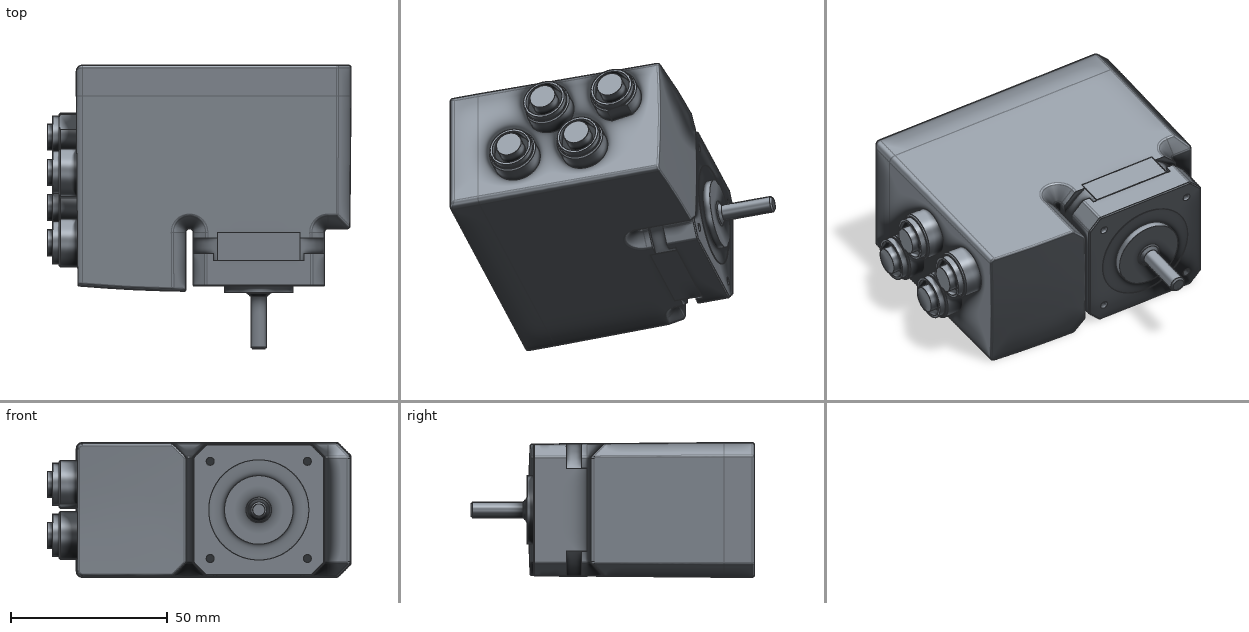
import cadquery as cq
import math


housing_left = -58.3
housing_right = 29.5
housing_half_height = 21.5
housing_back = 70.6
lid_joint = 60.8
draft_angle = 0.5
left_edge_radius = 2.0
right_edge_chamfer = 4.3
soft_edge_radius = 1.0
lid_rim_radius = 0.9

dome_radius = 387.8
dome_apex_x = -21.3
dome_apex_y = -1.6
pod_rim_radius = 0.6

gap_center_x = 22.1
gap_end_y = 17.2
gap_radius = 1.2
bevel_depth = 4.3
bevel_start_z = 16.9
bevel_angle = 45

motor_half_width = 21.0
motor_corner_chamfer = 4.1
flange_depth = 10.5
stator_back = 15.3
stator_round_radius = 24.8
flange_rim_chamfer = 0.4
recess_radius = 16.0
recess_depth = 0.2
pilot_radius = 11.0
pilot_height = 2.0
screw_spacing = 31.0
screw_hole_radius = 1.3
screw_hole_depth = 4.5

label_half_width = math.sqrt(stator_round_radius**2 - motor_half_width**2)
label_front = 8.2
label_back = 17.2
label_top = 21.2
notch_half_width = 14.4

shaft_radius = 2.5
shaft_tip = -20.0
shaft_tip_chamfer = 0.6
hub_radius = 4.1
hub_rim = 0.3
hub_neck_radius = 3.5
hub_height = 1.3

connector_tip = -67.5
ring_face = -65.8
collar_face = -63.8
connector_root = -56.2
collar_radius = 7.7
collar_chamfer = 0.5
ring_radius = 6.8
bore_radius = 6.0
bore_depth = 2.9
core_radius = 4.2
flat_distance = 6.9
row_height = 8.1
connectors = [
    (13.9, row_height, -100),
    (25.1, -row_height, 40),
    (36.4, row_height, -11),
    (47.6, -row_height, 45),
]

clearance = 58.2
flare_height = 7.8
pod_overshoot = 9.7

margin = 1.0
fine_margin = 0.1
bevel_top_z = bevel_start_z + bevel_depth
bevel_mouth = gap_radius + bevel_depth
pod_right = -gap_center_x - gap_radius
step_front_y = gap_end_y + gap_radius
chamfer_start_x = housing_right - right_edge_chamfer


def box(x0, x1, y0, y1, z0, z1):
    return cq.Workplane("XY").box(x1 - x0, y1 - y0, z1 - z0, centered=False).translate((x0, y0, z0))


def cylinder_y(radius, y_front, y_back, x=0, z=0):
    plane = cq.Workplane("XZ", origin=(x, y_back, z))
    return plane.circle(radius).extrude(y_back - y_front)


def cylinder_x(radius, x_left, x_right, y, z):
    return cq.Workplane("YZ", origin=(x_left, y, z)).circle(radius).extrude(x_right - x_left)


def within(low, high):
    """Select items whose centre lies inside the box from low to high."""
    return cq.selectors.BoxSelector(low, high)


def housing_section():
    width = housing_right - housing_left
    center_x = (housing_right + housing_left) / 2
    height = 2 * housing_half_height
    chamfer_corners = within(
        (chamfer_start_x - margin, -height, -margin), (housing_right + margin, height, margin)
    )
    return (
        cq.Sketch()
        .push([(center_x, 0)])
        .rect(width, height)
        .reset()
        .vertices("<X")
        .fillet(left_edge_radius)
        .reset()
        .vertices(">X")
        .chamfer(right_edge_chamfer)
        .reset()
        .vertices(chamfer_corners)
        .fillet(soft_edge_radius)
    )


def housing_block():
    section = housing_section()
    lid = cq.Workplane("XZ", origin=(0, housing_back, 0)).placeSketch(section)
    lid = lid.extrude(housing_back - lid_joint)
    lid_plan = box(housing_left, housing_right, lid_joint, housing_back, -clearance, clearance)
    lid = lid.intersect(lid_plan.edges("|Z and <X and >Y").fillet(left_edge_radius))
    lid = lid.faces(">Y").edges("not <X").fillet(lid_rim_radius)
    body = cq.Workplane("XZ", origin=(0, lid_joint, 0)).placeSketch(section)
    body = body.extrude(lid_joint + pod_overshoot, taper=draft_angle)
    return body, lid


def dome():
    return cq.Workplane("XY").sphere(dome_radius).translate((dome_apex_x, dome_apex_y + dome_radius, 0))


def gap_outline(plane):
    return (
        plane.moveTo(pod_right, -clearance)
        .lineTo(pod_right, gap_end_y)
        .threePointArc((-gap_center_x, step_front_y), (-gap_center_x + gap_radius, gap_end_y))
        .lineTo(-gap_center_x + gap_radius, -clearance)
        .close()
    )


def step_outline(plane):
    diagonal = gap_radius * math.sqrt(0.5)
    return (
        plane.moveTo(gap_center_x - gap_radius, -clearance)
        .lineTo(gap_center_x - gap_radius, gap_end_y)
        .threePointArc((gap_center_x - diagonal, gap_end_y + diagonal), (gap_center_x, step_front_y))
        .lineTo(clearance, step_front_y)
        .lineTo(clearance, -clearance)
        .close()
    )


def bevelled_cutter(outline):
    through = outline(cq.Workplane("XY")).extrude(clearance, both=True)
    flare = outline(cq.Workplane("XY", origin=(0, 0, bevel_start_z))).extrude(flare_height, taper=-bevel_angle)
    return through.union(flare).union(flare.mirror("XY"))


def mirrored_zone(side, x_range, y_range, z_range):
    """Select inside a box given for the top half; side is 1 for the top, -1 for the bottom."""
    low_z, high_z = z_range
    return within((x_range[0], y_range[0], side * low_z), (x_range[1], y_range[1], side * high_z))


def step_front_edges(side):
    """Edge between the step's front face and its bevel."""
    x_range = (gap_center_x + fine_margin, housing_right - margin)
    y_range = (step_front_y - fine_margin, step_front_y + fine_margin)
    z_range = (bevel_start_z - fine_margin, bevel_start_z + fine_margin)
    return mirrored_zone(side, x_range, y_range, z_range)


def bevel_edges(side):
    """Outer edges of the bevels around gap and step, with the slanted corner of the step."""
    reach = bevel_mouth + margin
    y_range = (-margin, gap_end_y + reach)
    z_range = (bevel_top_z - margin, bevel_top_z + margin)
    corner_x = (chamfer_start_x - margin, housing_right + margin)
    corner_z = (bevel_start_z + fine_margin, bevel_top_z)
    gap = mirrored_zone(side, (-gap_center_x - reach, -gap_center_x + reach), y_range, z_range)
    step = mirrored_zone(side, (gap_center_x - reach, housing_right + margin), y_range, z_range)
    corner = mirrored_zone(side, corner_x, (gap_end_y, gap_end_y + reach), corner_z)
    return gap + step + corner


def gap_side_edges(side):
    """Inner edges of the bevel on the pod's side and round the gap's end."""
    x_range = (pod_right - fine_margin, -gap_center_x + fine_margin)
    z_range = (bevel_start_z - fine_margin, bevel_start_z + fine_margin)
    return mirrored_zone(side, x_range, (0, step_front_y), z_range)


def pod_rim_edges():
    """Edges all round the pod's bulged front face."""
    low = (housing_left - margin, dome_apex_y - margin, -clearance)
    return within(low, (pod_right + fine_margin, margin, clearance))


def housing():
    body, lid = housing_block()
    body = body.intersect(dome())
    body = body.cut(box(-gap_center_x, clearance, -clearance, stator_back, -clearance, clearance))
    for outline in (gap_outline, step_outline):
        body = body.cut(bevelled_cutter(outline))
    for bevel_line in (step_front_edges, bevel_edges, gap_side_edges):
        body = body.edges(bevel_line(1) + bevel_line(-1)).fillet(soft_edge_radius)
    body = body.edges(pod_rim_edges()).fillet(pod_rim_radius)
    return body.union(lid)


def motor():
    side = 2 * motor_half_width
    stator = cq.Workplane("XZ", origin=(0, gap_end_y, 0)).rect(side, side)
    stator = stator.extrude(gap_end_y - label_front)
    stator = stator.intersect(cylinder_y(stator_round_radius, label_front, gap_end_y))
    flange = cq.Workplane("XZ", origin=(0, flange_depth, 0)).rect(side, side).extrude(flange_depth)
    flange = flange.edges("|Y").chamfer(motor_corner_chamfer).edges("|Y").fillet(soft_edge_radius)
    flange = flange.faces("<Y").edges().chamfer(flange_rim_chamfer)
    flange = flange.cut(cylinder_y(recess_radius, 0, recess_depth))
    flange = flange.cut(box(-notch_half_width, notch_half_width, label_front, flange_depth, -clearance, clearance))
    body = flange.union(stator).union(cylinder_y(pilot_radius, -pilot_height, label_front))
    offset = screw_spacing / 2
    for x in (-offset, offset):
        for z in (-offset, offset):
            body = body.cut(cylinder_y(screw_hole_radius, 0, screw_hole_depth, x, z))
    return body.union(box(-label_half_width, label_half_width, label_front, label_back, -label_top, label_top))


def shaft():
    hub_face = -pilot_height - hub_height
    profile = [
        (0, 0),
        (hub_radius, 0),
        (hub_radius, -pilot_height),
        (hub_neck_radius, -pilot_height - hub_rim),
        (shaft_radius, hub_face),
        (shaft_radius, shaft_tip + shaft_tip_chamfer),
        (shaft_radius - shaft_tip_chamfer, shaft_tip),
        (0, shaft_tip),
    ]
    return cq.Workplane("XY").polyline(profile).close().revolve(360, (0, 0, 0), (0, 1, 0))


def connector(y, z, flat_direction):
    collar = cylinder_x(collar_radius, collar_face, connector_root, y, z)
    collar = collar.faces("<X").edges().chamfer(collar_chamfer)
    trim = box(collar_face, connector_root, flat_distance, 2 * collar_radius, -collar_radius, collar_radius)
    trim = trim.rotate((0, 0, 0), (1, 0, 0), flat_direction).translate((0, y, z))
    ring = cylinder_x(ring_radius, ring_face, connector_root, y, z)
    bore = cylinder_x(bore_radius, ring_face, ring_face + bore_depth, y, z)
    core = cylinder_x(core_radius, connector_tip, connector_root, y, z)
    return collar.cut(trim).union(ring).cut(bore).union(core)


result = housing().union(motor()).union(shaft())
for y, z, flat_direction in connectors:
    result = result.union(connector(y, z, flat_direction))